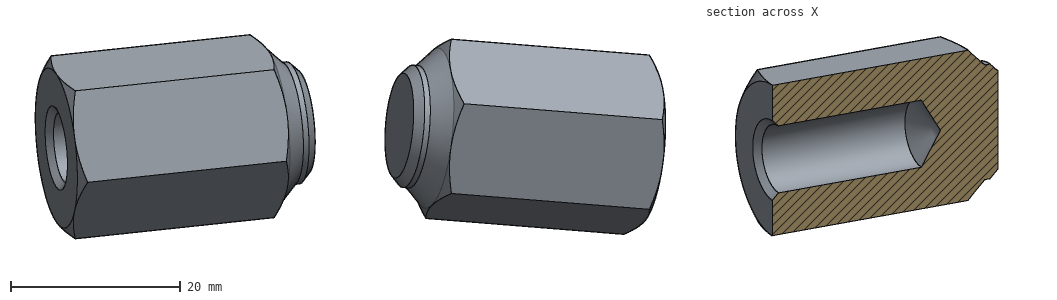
import cadquery as cq
import math

length = 30.0
across_flats = 19.0
flat_radius = across_flats / 2
corner_radius = flat_radius / math.cos(math.radians(30))
corner_chamfer_angle = 30.0
corner_chamfer = (corner_radius - flat_radius) * math.tan(math.radians(corner_chamfer_angle))

nose_radius = 7.25
nose_chamfer = 1.05
nose_land = 0.7
shoulder_length = 2.25
nose_start = length - nose_chamfer - nose_land
body_end = nose_start - shoulder_length

hole_radius = 4.2
mouth_radius = 5.0
hole_depth = 19.8
drill_point_angle = 118.0
mouth_depth = mouth_radius - hole_radius
point_depth = hole_radius / math.tan(math.radians(drill_point_angle / 2))


def revolve_about_y(profile):
    """Turn a closed (radius, Y) profile around the part axis."""
    return profile.close().revolve(360, (0, 0, 0), (0, 1, 0))


def make_hexagonal_bar():
    bar = cq.Workplane("XZ").polygon(6, 2 * corner_radius)
    return bar.extrude(-length)


def make_turned_envelope():
    profile = (
        cq.Workplane("XY")
        .moveTo(0, 0)
        .lineTo(flat_radius, 0)
        .lineTo(corner_radius, corner_chamfer)
        .lineTo(corner_radius, body_end - corner_chamfer)
        .lineTo(flat_radius, body_end)
        .lineTo(nose_radius, nose_start)
        .lineTo(nose_radius, length - nose_chamfer)
        .lineTo(nose_radius - nose_chamfer, length)
        .lineTo(0, length)
    )
    return revolve_about_y(profile)


def make_hole():
    profile = (
        cq.Workplane("XY")
        .moveTo(0, 0)
        .lineTo(mouth_radius, 0)
        .lineTo(hole_radius, mouth_depth)
        .lineTo(hole_radius, hole_depth)
        .lineTo(0, hole_depth + point_depth)
    )
    return revolve_about_y(profile)


result = make_hexagonal_bar().intersect(make_turned_envelope()).cut(make_hole())